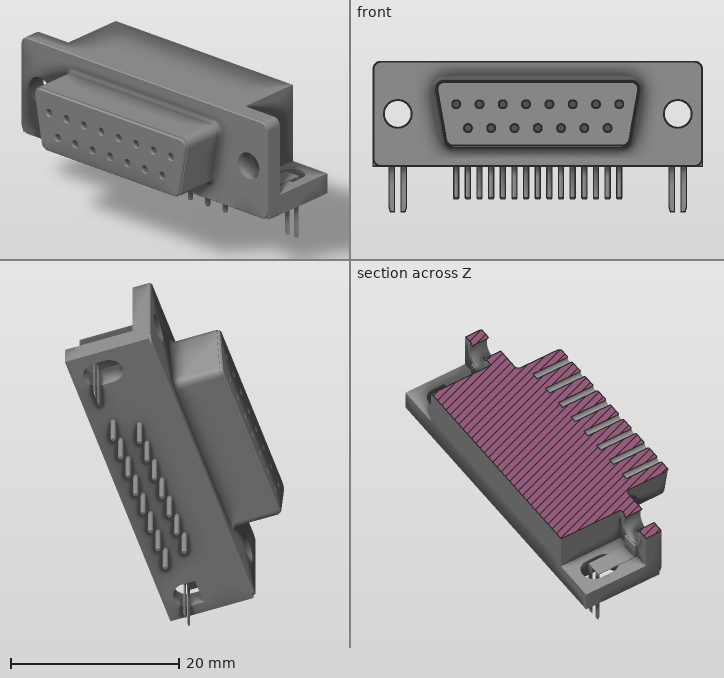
import cadquery as cq
import math


width = 39.2
body_height = 12.5
body_depth = 10.74
flange_thickness = 2.26
core_width = 28.2
ledge_height = 2.6
corner_radius = 0.95
front_plate_thickness = 0.3
front_edge_chamfer = 0.1

mount_spacing = 33.3
mount_height = body_height / 2
mount_hole_diameter = 3.4
slot_diameter = 3.2
slot_rear_inset = 3.03
slot_length = 1.6

shell_length = 6.14
shell_height = 7.94
shell_top_width = 24.66
shell_side_angle = 10
shell_corner_radius = 1.0
shell_root_radius = 0.55
face_length = 0.35
face_inset = 0.12
face_edge_chamfer = 0.12

upper_count = 8
lower_count = 7
contact_pitch = 2.77
row_spacing = 2.84
upper_row_height = 7.4
socket_diameter = 0.85
socket_depth = 5.0
socket_chamfer = 0.1
pin_diameter = 0.64
pin_length = 3.9
pin_tip_height = 0.2
pin_tip_inset = 0.1
rear_pin_inset = 2.72

sheet_thickness = 0.12
washer_thickness = 0.2
washer_diameter = 4.0
washer_hole_diameter = 3.2
strap_width = 2.12
strap_rise = 0.1
tab_depth = 0.4
leg_length = 5.4
leg_gap = 0.76
leg_taper_height = 0.6
leg_taper_width = 0.18
leg_rear_inset = 2.98

mount_sides = (-1, 1)
mating_face_y = -shell_length
selection_margin = 0.01


def block(x_range, y_range, z_range):
    """Box given by its limits along each axis."""
    return cq.Workplane("XY").box(
        x_range[1] - x_range[0],
        y_range[1] - y_range[0],
        z_range[1] - z_range[0],
        centered=False,
    ).translate((x_range[0], y_range[0], z_range[0]))


def y_cylinder(diameter, x, z, y_start, y_end):
    """Cylinder along Y between two Y positions."""
    plane = cq.Plane(origin=(x, y_start, z), xDir=(1, 0, 0), normal=(0, 1, 0))
    return cq.Workplane(plane).circle(diameter / 2).extrude(y_end - y_start)


def make_housing():
    """Flange with a rounded front plate, full-height core and a low ledge on each side."""
    half = width / 2
    plate = block((-half, half), (0, front_plate_thickness), (0, body_height))
    plate = plate.edges("|Y").fillet(corner_radius)
    plate = plate.faces("<Y").chamfer(front_edge_chamfer)
    flange = block((-half, half), (front_plate_thickness, flange_thickness), (0, body_height))
    flange = flange.edges("|Y and >Z").fillet(corner_radius)
    base = block((-half, half), (flange_thickness, body_depth), (0, ledge_height))
    core = block((-core_width / 2, core_width / 2), (flange_thickness, body_depth), (0, body_height))
    return plate.union(flange).union(base).union(core)


def make_shell():
    """Tapered D-shaped sleeve with the insulator face at its tip."""
    taper = shell_height * math.tan(math.radians(shell_side_angle))
    top = shell_top_width / 2
    bottom = top - taper
    low = mount_height - shell_height / 2
    high = mount_height + shell_height / 2
    outline = [(-top, high), (top, high), (bottom, low), (-bottom, low)]
    sleeve = cq.Workplane("XZ").polyline(outline).close().extrude(shell_length - face_length)
    sleeve = sleeve.edges("|Y").fillet(shell_corner_radius)
    rim = sleeve.faces("<Y").wires().toPending().workplane()
    face = rim.offset2D(-face_inset).extrude(face_length, combine=False)
    face = face.faces("<Y").chamfer(face_edge_chamfer)
    return sleeve.union(face)


def add_shell(body):
    """Join the shell to the flange with a concave fillet around its root."""
    half_width = shell_top_width / 2
    low = mount_height - shell_height / 2 - selection_margin
    high = mount_height + shell_height / 2 + selection_margin
    root_edges = cq.selectors.BoxSelector(
        (-half_width, -selection_margin, low),
        (half_width, selection_margin, high),
        boundingbox=True,
    )
    return body.union(make_shell()).edges(root_edges).fillet(shell_root_radius)


def cut_mounting(body):
    """Cut the flange holes and ledge slots; only the -X slot is rounded at both ends."""
    rear_center = body_depth - slot_rear_inset
    front_center = rear_center - slot_length
    radius = slot_diameter / 2
    for side in mount_sides:
        x = side * mount_spacing / 2
        body = body.cut(y_cylinder(mount_hole_diameter, x, mount_height, 0, flange_thickness))
        slot = block((x - radius, x + radius), (front_center, rear_center), (0, ledge_height))
        ends = [(x, rear_center)]
        if side < 0:
            ends.append((x, front_center))
        slot = slot.union(cq.Workplane("XY").pushPoints(ends).circle(radius).extrude(ledge_height))
        body = body.cut(slot)
    return body


def row_positions(count):
    """X positions of one contact row, centred on the part."""
    return [(i - (count - 1) / 2) * contact_pitch for i in range(count)]


def make_socket(x, z):
    """Cutter for one contact hole with a chamfered mouth."""
    radius = socket_diameter / 2
    mouth = radius + socket_chamfer
    profile = [
        (0, 0),
        (mouth, 0),
        (radius, socket_chamfer),
        (radius, socket_depth),
        (0, socket_depth),
    ]
    cutter = cq.Workplane("XY").polyline(profile).close().revolve(360, (0, 0), (0, 1))
    return cutter.translate((x, mating_face_y, z))


def add_contacts(body):
    """Socket holes in the mating face; the upper row leads to the rear row of pins."""
    lower_row_height = upper_row_height - row_spacing
    rear_pin_y = body_depth - rear_pin_inset
    rows = (
        (upper_count, upper_row_height, rear_pin_y),
        (lower_count, lower_row_height, rear_pin_y - row_spacing),
    )
    for count, height, pin_y in rows:
        for x in row_positions(count):
            body = body.cut(make_socket(x, height))
            pin = cq.Workplane("XY").center(x, pin_y).circle(pin_diameter / 2).extrude(-pin_length)
            body = body.union(pin.faces("<Z").edges().chamfer(pin_tip_height, pin_tip_inset))
    return body


def make_bracket(x):
    """Sheet-metal bracket: washer behind the flange, tab, strap over the ledge and forked leg."""
    half = strap_width / 2
    left, right = x - half, x + half
    leg_rear = body_depth - leg_rear_inset
    leg_front = leg_rear - sheet_thickness
    strap_top = ledge_height + strap_rise
    strap_bottom = strap_top - sheet_thickness
    washer_rear = flange_thickness + washer_thickness
    tab_rear = flange_thickness + tab_depth
    tab_top = mount_height - math.sqrt((washer_diameter / 2) ** 2 - half**2)

    washer = y_cylinder(washer_diameter, x, mount_height, flange_thickness, washer_rear)
    washer = washer.cut(
        y_cylinder(washer_hole_diameter, x, mount_height, flange_thickness, washer_rear)
    )
    tab = block((left, right), (flange_thickness, tab_rear), (ledge_height, tab_top))
    strap = block((left, right), (flange_thickness, leg_rear), (strap_bottom, strap_top))
    legs = block((left, right), (leg_front, leg_rear), (-leg_length, strap_top))
    legs = legs.edges("|Y and <Z").chamfer(leg_taper_height, leg_taper_width)
    gap = block(
        (x - leg_gap / 2, x + leg_gap / 2), (leg_front, leg_rear), (-leg_length, strap_bottom)
    )
    return washer.union(tab).union(strap).union(legs.cut(gap))


body = add_shell(make_housing())
body = cut_mounting(body)
body = add_contacts(body)
for side in mount_sides:
    body = body.union(make_bracket(side * mount_spacing / 2))

result = body